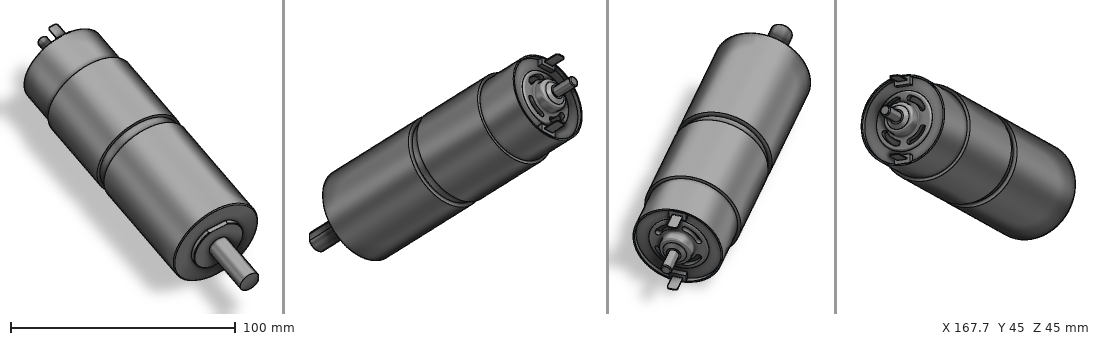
import cadquery as cq
import math

total_length = 167.7

bearing_nose_x = 11.2
terminal_tip_x = 8.4
can_rear_x = 17.3
sleeve_start_x = 38.9
sleeve_end_x = 78.5
gearbox_start_x = 84.0
gearbox_end_x = 140.5
pilot_end_x = 142.7
shaft_flat_start_x = 147.5

can_radius = 21.0
outer_radius = 22.5
can_front_fillet = 1.5
gearbox_chamfer = 0.5

recess_radius = 20.2
recess_depth = 2.0
plate_radius = 14.1
plate_height = 1.3
plate_edge_fillet = 1.2
plate_base_fillet = 0.5
bearing_radius = 7.5
bearing_nose_radius = 3.4
bearing_cone_radius = 5.5
bearing_shoulder_x = 12.5
bearing_fillet = 1.7
bearing_base_fillet = 0.7

vent_radius = 10.5
vent_width = 2.7
vent_depth = 2.7
vent_start_angle = 26.0
vent_end_angle = 73.0

terminal_offset = 18.3
terminal_width = 4.9
terminal_thickness = 0.5
terminal_tip_fillet = 1.3
block_width = 7.7
block_inner_z = 16.3
block_outer_z = 20.3
block_protrusion = 0.5

rear_shaft_radius = 2.5
rear_shaft_chamfer = 0.5
output_shaft_radius = 5.0
shaft_flat_offset = 4.7
pilot_radius = 13.0
pilot_flat_offset = 12.0
pilot_chamfer = 0.3

recess_floor_x = can_rear_x + recess_depth
plate_face_x = recess_floor_x - plate_height


def cylinder(start_x, end_x, radius):
    """Solid cylinder on the X axis between two stations."""
    return cq.Workplane("YZ", origin=(start_x, 0, 0)).circle(radius).extrude(end_x - start_x)


def box_between(start, end):
    """Axis-aligned box given by two opposite corners."""
    size = [b - a for a, b in zip(start, end)]
    return cq.Workplane("XY").box(*size, centered=False).translate(start)


def make_housing():
    """Motor can with its sleeve, and the gearbox in front of it."""
    can = cylinder(can_rear_x, gearbox_start_x, can_radius).faces(">X").edges().fillet(can_front_fillet)
    can = can.cut(cylinder(can_rear_x, recess_floor_x, recess_radius))
    sleeve = cylinder(sleeve_start_x, sleeve_end_x, outer_radius)
    gearbox = cylinder(gearbox_start_x, gearbox_end_x, outer_radius)
    gearbox = gearbox.faces(">X").edges().chamfer(gearbox_chamfer)
    return can.union(sleeve).union(gearbox)


def make_bearing_housing():
    """Cylinder with a rounded shoulder, topped by a blunt cone."""
    barrel = cylinder(bearing_shoulder_x, recess_floor_x, bearing_radius)
    barrel = barrel.faces("<X").edges().fillet(bearing_fillet)
    cone_profile = [
        (bearing_nose_x, 0),
        (bearing_nose_x, bearing_nose_radius),
        (bearing_shoulder_x, bearing_cone_radius),
        (bearing_shoulder_x, 0),
    ]
    cone = cq.Workplane("XY").polyline(cone_profile).close().revolve(360, (0, 0, 0), (1, 0, 0))
    return barrel.union(cone)


def base_flare(face_x, radius, fillet):
    """Concave fillet ring where a cylinder rises from a face toward -X."""
    arc_middle = fillet * (1 - math.sqrt(0.5))
    return (
        cq.Workplane("XY")
        .moveTo(face_x, 0)
        .lineTo(face_x, radius + fillet)
        .threePointArc((face_x - arc_middle, radius + arc_middle), (face_x - fillet, radius))
        .lineTo(face_x - fillet, 0)
        .close()
        .revolve(360, (0, 0, 0), (1, 0, 0))
    )


def make_vent(start_angle, end_angle):
    """Round-ended arc slot cut into the raised plate."""
    def point(radius, angle):
        turn = math.radians(angle)
        return (radius * math.cos(turn), radius * math.sin(turn))

    middle_angle = (start_angle + end_angle) / 2
    cap_angle = math.degrees(vent_width / 2 / vent_radius)
    inner = vent_radius - vent_width / 2
    outer = vent_radius + vent_width / 2
    return (
        cq.Workplane("YZ", origin=(plate_face_x, 0, 0))
        .moveTo(*point(inner, start_angle))
        .threePointArc(point(inner, middle_angle), point(inner, end_angle))
        .threePointArc(point(vent_radius, end_angle + cap_angle), point(outer, end_angle))
        .threePointArc(point(outer, middle_angle), point(outer, start_angle))
        .threePointArc(point(vent_radius, start_angle - cap_angle), point(inner, start_angle))
        .close()
        .extrude(vent_depth)
    )


def make_vents():
    """Four vents, one per quadrant."""
    upper_pair = make_vent(vent_start_angle, vent_end_angle)
    upper_pair = upper_pair.union(upper_pair.mirror("XZ"))
    return upper_pair.union(upper_pair.mirror("XY"))


def make_rear_plate():
    """Raised plate with a rounded rim."""
    plate = cylinder(plate_face_x, recess_floor_x, plate_radius)
    return plate.faces("<X").edges().fillet(plate_edge_fillet)


def make_terminal():
    """Upper terminal: insulating block with a flat blade."""
    block = box_between(
        (can_rear_x - block_protrusion, -block_width / 2, block_inner_z),
        (recess_floor_x, block_width / 2, block_outer_z),
    )
    half_thickness = terminal_thickness / 2
    blade = box_between(
        (terminal_tip_x, -terminal_width / 2, terminal_offset - half_thickness),
        (recess_floor_x, terminal_width / 2, terminal_offset + half_thickness),
    )
    blade = blade.edges("|Z and <X").fillet(terminal_tip_fillet)
    return block.union(blade)


def make_rear_shaft():
    """Rear shaft with a chamfered tip."""
    shaft = cylinder(0, recess_floor_x, rear_shaft_radius)
    return shaft.faces("<X").edges().chamfer(rear_shaft_chamfer)


def make_output_end():
    """Pilot boss with top and bottom flats, and the output shaft with one flat on +Y."""
    pilot = cylinder(gearbox_end_x, pilot_end_x, pilot_radius).faces(">X").edges().chamfer(pilot_chamfer)
    pilot = pilot.intersect(
        box_between(
            (gearbox_end_x, -pilot_radius, -pilot_flat_offset),
            (pilot_end_x, pilot_radius, pilot_flat_offset),
        )
    )
    shaft = cylinder(gearbox_end_x, total_length, output_shaft_radius)
    shaft = shaft.cut(
        box_between(
            (shaft_flat_start_x, shaft_flat_offset, -output_shaft_radius),
            (total_length, output_shaft_radius, output_shaft_radius),
        )
    )
    return pilot.union(shaft)


terminal = make_terminal()

result = (
    make_housing()
    .union(make_rear_plate())
    .union(base_flare(recess_floor_x, plate_radius, plate_base_fillet))
    .cut(make_vents())
    .union(make_bearing_housing())
    .union(base_flare(plate_face_x, bearing_radius, bearing_base_fillet))
    .union(terminal)
    .union(terminal.mirror("XY"))
    .union(make_rear_shaft())
    .union(make_output_end())
)